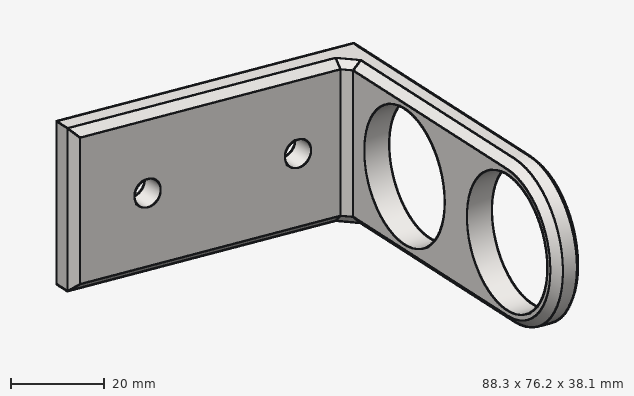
import cadquery as cq

length = 88.3
depth = 76.2
height = 38.1
thickness = 6.35

inner_bevel = 1.9
back_bevel = 0.9
corner_reach = 8.3

ring_diameter = 31.8
ring_spacing = 40.6
screw_diameter = 6.6

half_height = height / 2
end_center_x = length - half_height
rim = thickness - inner_bevel
overlap = 0.9


def make_arm():
    """Round-ended arm, bevelled on both sides along its free outline."""
    arm = (
        cq.Workplane("XZ")
        .moveTo(0, -half_height)
        .lineTo(end_center_x, -half_height)
        .threePointArc((length, 0), (end_center_x, half_height))
        .lineTo(0, half_height)
        .close()
        .extrude(thickness)
    )
    arm = arm.faces("<Y").edges("not <X").chamfer(inner_bevel)
    return arm.faces(">Y").edges("not <X").chamfer(back_bevel)


def make_plate():
    """Mounting plate, bevelled along the three free edges of its inner face."""
    plate_end = overlap - corner_reach
    plate = cq.Workplane("XY").box(
        thickness, depth + plate_end, height, centered=(False, False, True)
    ).translate((0, -depth, 0))
    return plate.faces(">X").edges("not >Y").chamfer(inner_bevel)


def corner_outline(leg_thickness):
    """Corner section with a sloping facet between legs of the given thickness."""
    return [
        (0, -back_bevel),
        (corner_reach, -back_bevel),
        (corner_reach, -leg_thickness),
        (leg_thickness, -corner_reach),
        (0, -corner_reach),
    ]


def make_corner():
    """Corner block whose inner facet is bevelled at the top and bottom."""
    bevel_start = half_height - inner_bevel
    block = (
        cq.Workplane("XY", origin=(0, 0, -bevel_start))
        .polyline(corner_outline(thickness))
        .close()
        .extrude(2 * bevel_start)
    )
    top_bevel = (
        cq.Workplane("XY", origin=(0, 0, bevel_start))
        .polyline(corner_outline(thickness))
        .close()
        .workplane(offset=inner_bevel)
        .polyline(corner_outline(rim))
        .close()
        .loft(ruled=True)
    )
    return block.union(top_bevel).union(top_bevel.mirror("XY"))


bracket = make_arm().union(make_corner()).union(make_plate())

ring_centers = [(end_center_x - ring_spacing, 0), (end_center_x, 0)]
ring_holes = (
    cq.Workplane("XZ").pushPoints(ring_centers).circle(ring_diameter / 2).extrude(thickness)
)

screw_centers = [(-depth / 4, 0), (-3 * depth / 4, 0)]
screw_holes = (
    cq.Workplane("YZ").pushPoints(screw_centers).circle(screw_diameter / 2).extrude(thickness)
)

result = bracket.cut(ring_holes).cut(screw_holes).clean()